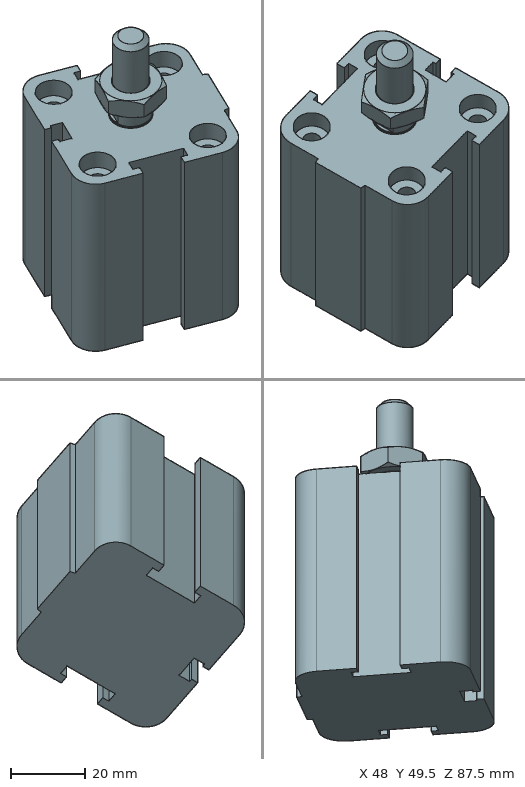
import cadquery as cq
import math

total_height = 87.5

housing_width = 48.0
housing_height = 59.6
housing_corner_radius = 7.0
tab_base_width = 15.9
tab_tip_width = 15.2
tab_height = 1.5

hole_spacing = 32.0
hole_diameter = 4.9
hole_depth = 14.5
counterbore_diameter = 10.0
counterbore_depth = 5.5

side_mouth_width = 12.0
side_chamber_width = 15.9
side_lip_thickness = 2.5
side_slot_depth = 5.5
front_mouth_width = 5.2
front_chamber_width = 7.0
front_lip_thickness = 2.0
front_slot_depth = 5.5

collar_diameter = 12.0
collar_height = 0.3
collar_cone_height = 0.3
rod_diameter = 11.7
flat_width = 10.0
flat_start = 0.8
shoulder_height = 5.6
thread_diameter = 10.0
thread_chamfer = 1.5

nut_across_flats = 17.0
nut_height = 5.95
nut_top_to_rod_end = 16.0
nut_face_diameter = 16.8
nut_countersink_diameter = 10.5
nut_chamfer_angle = 30.0

half_width = housing_width / 2
nut_top = total_height - nut_top_to_rod_end
nut_bottom = nut_top - nut_height
shoulder_z = housing_height + shoulder_height
shoulder_cone_height = (rod_diameter - thread_diameter) / 2


def make_t_slot(mouth_width, chamber_width, lip_thickness, depth):
    """T-slot cutter opening through the -Y face of the housing."""
    mouth = cq.Workplane("XY").box(mouth_width, depth, housing_height, centered=(True, False, False))
    chamber = (
        cq.Workplane("XY")
        .box(chamber_width, depth - lip_thickness, housing_height, centered=(True, False, False))
        .translate((0, lip_thickness, 0))
    )
    return mouth.union(chamber).translate((0, -half_width, 0))


def make_tab():
    """Tapered rib along the +Y face."""
    return (
        cq.Workplane("XY")
        .polyline([
            (-tab_base_width / 2, half_width),
            (tab_base_width / 2, half_width),
            (tab_tip_width / 2, half_width + tab_height),
            (-tab_tip_width / 2, half_width + tab_height),
        ])
        .close()
        .extrude(housing_height)
    )


def make_housing():
    """Block with tab, three T-slots and four blind counterbored holes."""
    block = (
        cq.Workplane("XY")
        .rect(housing_width, housing_width)
        .extrude(housing_height)
        .edges("|Z")
        .fillet(housing_corner_radius)
        .union(make_tab())
    )
    front_slot = make_t_slot(front_mouth_width, front_chamber_width, front_lip_thickness, front_slot_depth)
    side_slot = make_t_slot(side_mouth_width, side_chamber_width, side_lip_thickness, side_slot_depth)
    block = block.cut(front_slot)
    for angle in (-90, 90):
        block = block.cut(side_slot.rotate((0, 0, 0), (0, 0, 1), angle))
    return (
        block.faces(">Z")
        .workplane(origin=(0, 0, housing_height))
        .rect(hole_spacing, hole_spacing, forConstruction=True)
        .vertices()
        .cboreHole(hole_diameter, counterbore_diameter, counterbore_depth, hole_depth)
    )


def make_rod():
    """Rod standing on the housing top face."""
    rod_radius = rod_diameter / 2
    thread_radius = thread_diameter / 2
    collar_radius = collar_diameter / 2
    collar_top = housing_height + collar_height
    rod = (
        cq.Workplane("XZ")
        .polyline([
            (0, housing_height),
            (collar_radius, housing_height),
            (collar_radius, collar_top),
            (rod_radius, collar_top + collar_cone_height),
            (rod_radius, shoulder_z),
            (thread_radius, shoulder_z + shoulder_cone_height),
            (thread_radius, total_height - thread_chamfer),
            (thread_radius - thread_chamfer, total_height),
            (0, total_height),
        ])
        .close()
        .revolve(360, (0, 0, 0), (0, 1, 0))
    )
    flats_bottom = housing_height + flat_start
    flats_height = shoulder_z + shoulder_cone_height - flats_bottom
    for side in (-1, 1):
        flat_cutter = (
            cq.Workplane("XY")
            .box(2 * rod_diameter, rod_diameter, flats_height, centered=(True, True, False))
            .translate((0, side * (flat_width + rod_diameter) / 2, flats_bottom))
        )
        rod = rod.cut(flat_cutter)
    return rod


def make_nut(rod):
    """Hexagon nut with both faces chamfered, seated on the shoulder cone of the rod."""
    corner_radius = nut_across_flats / math.sqrt(3)
    face_radius = nut_face_diameter / 2
    chamfer_drop = (corner_radius - face_radius) * math.tan(math.radians(nut_chamfer_angle))
    hexagon = (
        cq.Workplane("XY", origin=(0, 0, nut_bottom))
        .polygon(6, 2 * corner_radius)
        .extrude(nut_height)
    )
    chamfer_envelope = (
        cq.Workplane("XZ")
        .polyline([
            (0, nut_bottom),
            (face_radius, nut_bottom),
            (corner_radius, nut_bottom + chamfer_drop),
            (corner_radius, nut_top - chamfer_drop),
            (face_radius, nut_top),
            (0, nut_top),
        ])
        .close()
        .revolve(360, (0, 0, 0), (0, 1, 0))
    )
    thread_radius = thread_diameter / 2
    countersink_radius = nut_countersink_diameter / 2
    countersink_depth = countersink_radius - thread_radius
    countersink = cq.Workplane(
        cq.Solid.makeCone(thread_radius, countersink_radius, countersink_depth)
    ).translate((0, 0, nut_top - countersink_depth))
    return hexagon.intersect(chamfer_envelope).cut(countersink).cut(rod)


housing = make_housing()
rod = make_rod()
nut = make_nut(rod)

result = cq.Compound.makeCompound([housing.val(), rod.val(), nut.val()])